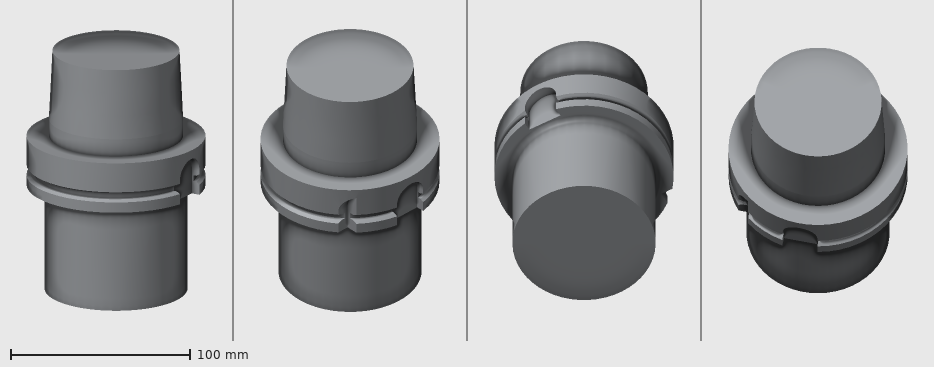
import cadquery as cq
import math

total_height = 140.0
flange_bottom = 61.0
flange_height = 29.0
flange_top = flange_bottom + flange_height
spigot_straight_height = 10.0
taper_start = flange_top + spigot_straight_height

body_radius = 40.0
body_fillet = 3.0
flange_radius = 50.0
spigot_radius = 37.5
spigot_tip_radius = 35.5

groove_below_flange_top = 20.0
groove_height = flange_top - groove_below_flange_top
groove_floor_radius = 46.0
groove_floor_width = 3.6
groove_mouth_width = 6.0
lip_angle = 30.0
lip_height = (groove_mouth_width - groove_floor_width) / 2
lip_depth = lip_height / math.tan(math.radians(lip_angle))

slot_width = 20.0
slot_radius = slot_width / 2
slot_arc_height = 75.0
slot_floor_distance = 44.0

notch_offset = 31.6
notch_wall_x = -notch_offset
notch_floor_y = notch_offset

turning_plane = cq.Plane(origin=(0, 0, 0), xDir=(0, -1, 0), normal=(-1, 0, 0))

clearance = 5.0
cutter_reach = flange_radius + clearance


def turned_body():
    """Body, flange and tapered spigot revolved about Z."""
    fillet_start = flange_bottom - body_fillet
    fillet_middle = body_fillet * (1 - math.sqrt(0.5))
    profile = (
        cq.Workplane(turning_plane)
        .lineTo(body_radius, 0)
        .lineTo(body_radius, fillet_start)
        .threePointArc(
            (body_radius + fillet_middle, flange_bottom - fillet_middle),
            (body_radius + body_fillet, flange_bottom),
        )
        .lineTo(flange_radius, flange_bottom)
        .lineTo(flange_radius, flange_top)
        .lineTo(spigot_radius, flange_top)
        .lineTo(spigot_radius, taper_start)
        .lineTo(spigot_tip_radius, total_height)
        .lineTo(0, total_height)
        .close()
    )
    return profile.revolve(axisStart=(0, 0), axisEnd=(0, 1))


def gripper_groove():
    """Ring removed from the flange rim."""
    lip_radius = flange_radius - lip_depth
    floor_half = groove_floor_width / 2
    mouth_half = groove_mouth_width / 2
    profile = (
        cq.Workplane(turning_plane)
        .moveTo(groove_floor_radius, groove_height - floor_half)
        .lineTo(lip_radius, groove_height - floor_half)
        .lineTo(flange_radius, groove_height - mouth_half)
        .lineTo(cutter_reach, groove_height - mouth_half)
        .lineTo(cutter_reach, groove_height + mouth_half)
        .lineTo(flange_radius, groove_height + mouth_half)
        .lineTo(lip_radius, groove_height + floor_half)
        .lineTo(groove_floor_radius, groove_height + floor_half)
        .close()
    )
    return profile.revolve(axisStart=(0, 0), axisEnd=(0, 1))


def round_top_cutter(floor_distance):
    """Slot cutter centred on X = 0, reaching outward along +Y from its floor."""
    profile = (
        cq.Workplane("XZ", origin=(0, floor_distance, 0))
        .moveTo(-slot_radius, flange_bottom)
        .lineTo(slot_radius, flange_bottom)
        .lineTo(slot_radius, slot_arc_height)
        .threePointArc((0, slot_arc_height + slot_radius), (-slot_radius, slot_arc_height))
        .close()
    )
    return profile.extrude(floor_distance - cutter_reach)


def key_slot(turn):
    """Key slot turned about Z from the +Y direction."""
    return round_top_cutter(slot_floor_distance).rotate((0, 0, 0), (0, 0, 1), turn)


def orientation_notch():
    """Corner notch with one wall facing -X and its floor facing +Y."""
    return round_top_cutter(notch_floor_y).translate((notch_wall_x - slot_radius, 0, 0))


result = turned_body().cut(gripper_groove())
for slot_turn in (90, -90):
    result = result.cut(key_slot(slot_turn))
result = result.cut(orientation_notch())